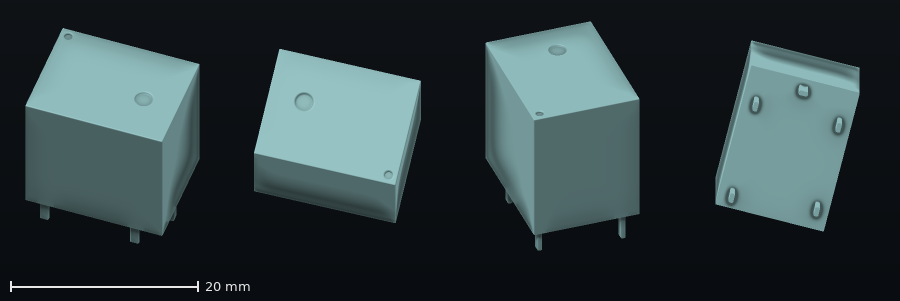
import cadquery as cq
import math

LENGTH = 15.56
WIDTH = 11.98
TOTAL_HEIGHT = 18.55
PIN_LENGTH = 3.6
HOUSING_HEIGHT = TOTAL_HEIGHT - PIN_LENGTH
EDGE_RADIUS = 0.13

PIN_WIDTH = 1.02
PIN_THICKNESS = 0.5
PIN_END_RADIUS = 0.399
PIN_EMBED = 0.19

ROW_Y = 4.58
COIL_PIN_X = 4.17
FRONT_CONTACT_X = -6.07
REAR_CONTACT_X = -5.25
COMMON_PIN_X = 6.85

VENT_X = -6.79
VENT_Y = 5.0
VENT_FLOOR_DIAMETER = 0.8
VENT_RIM_RADIUS = 0.22

MARK_X = 3.84
MARK_Y = -0.82
MARK_DIAMETER = 2.3
MARK_FLOOR_DIAMETER = 1.55
MARK_DEPTH = 0.2


def make_housing():
    """Box with rounded upright and top edges and a sharp lower rim."""
    box = cq.Workplane("XY").box(LENGTH, WIDTH, HOUSING_HEIGHT, centered=(True, True, False))
    return box.edges("|Z or >Z").fillet(EDGE_RADIUS)


def make_pin(x, y, angle=0):
    """Pin whose wide direction is along X at angle 0."""
    half_width = PIN_WIDTH / 2
    half_thickness = PIN_THICKNESS / 2
    end_bulge = PIN_END_RADIUS - math.sqrt(PIN_END_RADIUS**2 - half_thickness**2)
    flat_half = half_width - end_bulge
    return (
        cq.Workplane("XY")
        .moveTo(-flat_half, -half_thickness)
        .lineTo(flat_half, -half_thickness)
        .threePointArc((half_width, 0), (flat_half, half_thickness))
        .lineTo(-flat_half, half_thickness)
        .threePointArc((-half_width, 0), (-flat_half, -half_thickness))
        .close()
        .extrude(PIN_LENGTH + PIN_EMBED)
        .rotate((0, 0, 0), (0, 0, 1), angle)
        .translate((x, y, -PIN_LENGTH))
    )


def make_vent():
    """Cutter for the vent: flat floor and a convex quarter-round rim."""
    floor_radius = VENT_FLOOR_DIAMETER / 2
    rim_radius = floor_radius + VENT_RIM_RADIUS
    arc_offset = VENT_RIM_RADIUS * (1 - math.sqrt(0.5))
    profile = (
        cq.Workplane("XZ")
        .moveTo(0, 0)
        .lineTo(0, -VENT_RIM_RADIUS)
        .lineTo(floor_radius, -VENT_RIM_RADIUS)
        .threePointArc((floor_radius + arc_offset, -arc_offset), (rim_radius, 0))
        .close()
    )
    return profile.revolve(360, (0, 0, 0), (0, 1, 0)).translate((VENT_X, VENT_Y, HOUSING_HEIGHT))


def make_mark():
    """Cutter for the mark: the wall leaves the top face and meets the floor tangentially."""
    rim_radius = MARK_DIAMETER / 2
    floor_radius = MARK_FLOOR_DIAMETER / 2
    middle = ((rim_radius + floor_radius) / 2, -MARK_DEPTH / 2)
    profile = (
        cq.Workplane("XZ")
        .moveTo(rim_radius, 0)
        .lineTo(0, 0)
        .lineTo(0, -MARK_DEPTH)
        .lineTo(floor_radius, -MARK_DEPTH)
        .tangentArcPoint(middle, relative=False)
        .tangentArcPoint((rim_radius, 0), relative=False)
        .close()
    )
    return profile.revolve(360, (0, 0, 0), (0, 1, 0)).translate((MARK_X, MARK_Y, HOUSING_HEIGHT))


pins = [
    make_pin(FRONT_CONTACT_X, -ROW_Y),
    make_pin(REAR_CONTACT_X, ROW_Y),
    make_pin(COIL_PIN_X, -ROW_Y),
    make_pin(COIL_PIN_X, ROW_Y),
    make_pin(COMMON_PIN_X, 0, angle=90),
]

result = make_housing().cut(make_vent()).cut(make_mark())
for pin in pins:
    result = result.union(pin)